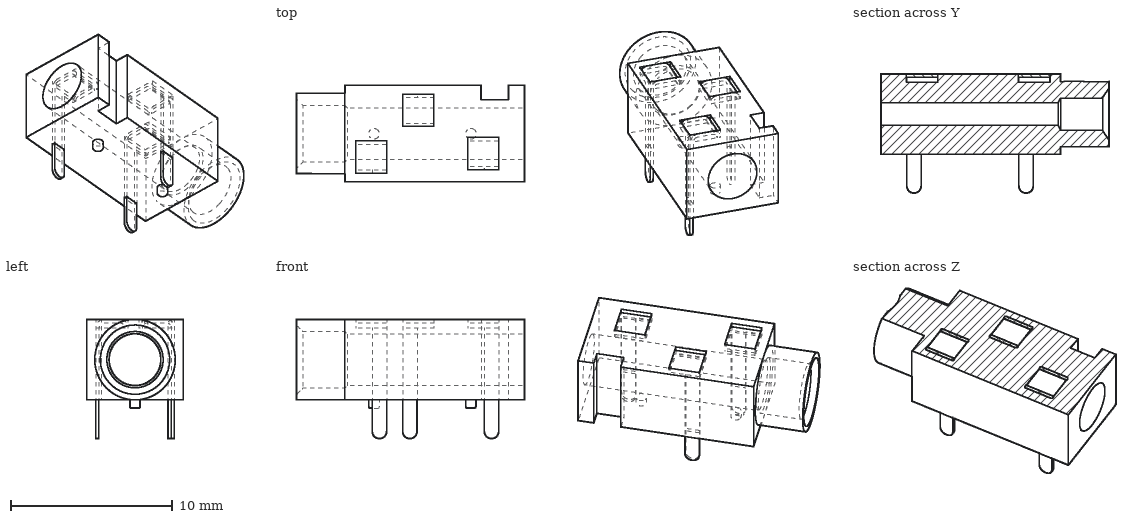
import cadquery as cq


total_length = 14.15
housing_width = 6.0
housing_height = 5.0
sleeve_diameter = housing_height
sleeve_length = 3.0
top_z = housing_height / 2
bottom_z = -top_z

bore_diameter = 3.2
entry_diameter = 3.5
mouth_diameter = 4.3
entry_depth = sleeve_length
mouth_depth = (mouth_diameter - entry_diameter) / 2
narrowing_depth = (entry_diameter - bore_diameter) / 2

notch_start_x = 11.45
notch_length = 1.7
notch_depth = 0.9

peg_diameter = 0.65
peg_length = 0.51
peg_edge_radius = 0.11
peg_spacing = 6.01
first_peg_x = 4.8
peg_positions = [(first_peg_x, 0), (first_peg_x + peg_spacing, 0)]

bridge_length = 1.92
bridge_width = 2.01
bridge_bend_radius = 0.51
sheet_thickness = 0.21
leg_width = 0.9
leg_protrusion = 2.4
side_leg_y = 2.45
rear_leg_y = 2.25
leg_tip_z = bottom_z - leg_protrusion
bridge_bottom_z = top_z - bridge_bend_radius

contacts_layout = [
    (3.68, -side_leg_y, "far"),
    (6.58, side_leg_y, "near"),
    (10.63, -rear_leg_y, "far"),
]


def box(x_start, x_end, y_a, y_b, z_start, z_end):
    """Box between two X, two Y (in either order) and two Z positions."""
    return (
        cq.Workplane("XY", origin=((x_start + x_end) / 2, (y_a + y_b) / 2, z_start))
        .rect(x_end - x_start, abs(y_b - y_a))
        .extrude(z_end - z_start)
    )


def inward(outer_y, distance):
    """Y position at a distance from the outer leg face toward the bore axis."""
    return outer_y - distance if outer_y > 0 else outer_y + distance


def leg_start_x(bridge_x, leg_end):
    """X where the leg starts: flush with the near or the far end of the bridge."""
    return bridge_x + bridge_length - leg_width if leg_end == "far" else bridge_x


def bridge_envelope(bridge_x, outer_y):
    """Block that the bridge is bent from; it is also the shape of its pocket."""
    inner_y = inward(outer_y, bridge_width)
    return box(bridge_x, bridge_x + bridge_length, outer_y, inner_y, bridge_bottom_z, top_z)


def leg_blank(bridge_x, outer_y, leg_end):
    """Square-ended leg from the bridge to the tip; it is also the shape of its slot."""
    start_x = leg_start_x(bridge_x, leg_end)
    inner_y = inward(outer_y, sheet_thickness)
    return box(start_x, start_x + leg_width, outer_y, inner_y, leg_tip_z, bridge_bottom_z)


def make_bridge(bridge_x, outer_y):
    """Flat strip with both long sides bent down a quarter turn."""
    inner_radius = bridge_bend_radius - sheet_thickness
    half_width = bridge_width / 2
    half_flat = half_width - bridge_bend_radius
    half_gap = half_width - sheet_thickness
    center_y = inward(outer_y, half_width)
    return (
        cq.Workplane("YZ", origin=(bridge_x, center_y, bridge_bottom_z))
        .moveTo(-half_width, 0)
        .radiusArc((-half_flat, bridge_bend_radius), bridge_bend_radius)
        .lineTo(half_flat, bridge_bend_radius)
        .radiusArc((half_width, 0), bridge_bend_radius)
        .lineTo(half_gap, 0)
        .radiusArc((half_flat, inner_radius), -inner_radius)
        .lineTo(-half_flat, inner_radius)
        .radiusArc((-half_gap, 0), -inner_radius)
        .close()
        .extrude(bridge_length)
    )


def make_contact(bridge_x, outer_y, leg_end):
    """Sheet-metal contact: bent bridge and one leg with a round tip."""
    tip_radius = leg_width / 2
    leg_center_x = leg_start_x(bridge_x, leg_end) + tip_radius
    tip_center_z = leg_tip_z + tip_radius
    leg_center_y = inward(outer_y, sheet_thickness / 2)
    leg = (
        cq.Workplane("XZ", origin=(leg_center_x, leg_center_y, 0))
        .moveTo(-tip_radius, bridge_bottom_z)
        .lineTo(-tip_radius, tip_center_z)
        .threePointArc((0, leg_tip_z), (tip_radius, tip_center_z))
        .lineTo(tip_radius, bridge_bottom_z)
        .close()
        .extrude(sheet_thickness / 2, both=True)
    )
    return make_bridge(bridge_x, outer_y).union(leg)


def make_bore():
    """Plug bore along X with a conical mouth and a conical narrowing."""
    return (
        cq.Workplane("XY")
        .moveTo(0, 0)
        .lineTo(0, mouth_diameter / 2)
        .lineTo(mouth_depth, entry_diameter / 2)
        .lineTo(entry_depth, entry_diameter / 2)
        .lineTo(entry_depth + narrowing_depth, bore_diameter / 2)
        .lineTo(total_length, bore_diameter / 2)
        .lineTo(total_length, 0)
        .close()
        .revolve(360, (0, 0, 0), (1, 0, 0))
    )


def make_pegs():
    """Round locating pegs with rounded lower edges."""
    return (
        cq.Workplane("XY", origin=(0, 0, bottom_z))
        .pushPoints(peg_positions)
        .circle(peg_diameter / 2)
        .extrude(-peg_length)
        .faces("<Z")
        .edges()
        .fillet(peg_edge_radius)
    )


def make_housing():
    """Rectangular body with sleeve and pegs, cut for the plug, the notch and the contacts."""
    side_y = housing_width / 2
    sleeve = cq.Workplane("YZ").circle(sleeve_diameter / 2).extrude(sleeve_length)
    body = box(sleeve_length, total_length, -side_y, side_y, bottom_z, top_z)
    notch_end_x = notch_start_x + notch_length
    notch = box(notch_start_x, notch_end_x, side_y - notch_depth, side_y, bottom_z, top_z)
    housing = body.union(sleeve).cut(make_bore()).cut(notch).union(make_pegs())
    for bridge_x, outer_y, leg_end in contacts_layout:
        housing = housing.cut(bridge_envelope(bridge_x, outer_y))
        housing = housing.cut(leg_blank(bridge_x, outer_y, leg_end))
    return housing


housing = make_housing()
contacts = [make_contact(*placement) for placement in contacts_layout]

result = cq.Compound.makeCompound([housing.val(), *[contact.val() for contact in contacts]])